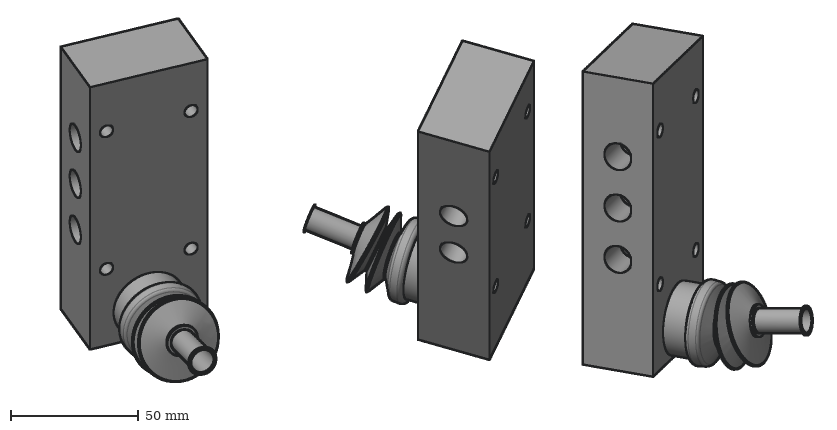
import cadquery as cq
import math

total_height = 128.3
body_depth = 30.0
body_width = 50.0
stub_dia = 30.0
stub_length = 9.8
collar_dia = 34.6
collar_front_dia = 34.0
collar_length = 6.3
collar_back_round = 1.9
collar_front_round = 1.3
overlap = 1.3

stub_z = stub_dia / 2
body_height = total_height - (collar_dia - stub_dia) / 2

port_dia = 11.4
port_depth = 15.4
port_pitch = 22.1
port_middle_z = 69.9
mount_dia = 5.5
mount_spacing_y = 35.9
mount_spacing_z = 66.1

bellows_start_dia = 31.8
neck_dia = 19.2
rim_dia = 34.0
rim_half_width = 0.5
neck_half_width = 0.4
first_neck = (49.7, 15.1, 5.0)
first_rim = (53.8, 15.5, 11.6)
second_neck = (56.7, 16.4, 16.8)
second_rim = (60.3, 17.7, 21.0)

lever_tilt = 10.0
lever_ring_dia = 13.0
lever_ring_length = 1.0
tube_dia = 10.0
tube_bore_dia = 9.5
flange_dia = 11.8
flange_thickness = 0.3
tip_x = 84.8
tip_z = 23.5
lever_length = 21.5


def tilted_plane(x, z, tilt, offset=0.0):
    """Plane facing +X and leaning up by tilt, moved along its own normal by offset."""
    angle = math.radians(tilt)
    normal = cq.Vector(math.cos(angle), 0, math.sin(angle))
    origin = cq.Vector(x, 0, z) + normal * offset
    return cq.Plane(origin=origin, xDir=(0, 1, 0), normal=normal)


def ring_wire(plane, dia):
    return cq.Wire.makeCircle(dia / 2, plane.origin, plane.zDir)


def fold_wires(fold, half_width, edge_dia):
    """Pair of equal circles bounding one fold of the bellows."""
    return [ring_wire(tilted_plane(*fold, side * half_width), edge_dia) for side in (-1, 1)]


def rim_wires(fold):
    """Bevelled outer rim: a full-size circle between two smaller ones."""
    back, front = fold_wires(fold, rim_half_width, rim_dia - 2 * rim_half_width)
    return [back, ring_wire(tilted_plane(*fold), rim_dia), front]


def make_body():
    body = cq.Workplane("XY").box(body_depth, body_width, body_height, centered=(False, True, False))

    mounts = (
        cq.Workplane("YZ", origin=(0, 0, port_middle_z))
        .rarray(mount_spacing_y, mount_spacing_z, 2, 2)
        .circle(mount_dia / 2)
        .extrude(body_depth)
    )
    body = body.cut(mounts)

    for side, steps in ((-1, (-1, 0, 1)), (1, (-0.5, 0.5))):
        for step in steps:
            start = cq.Vector(body_depth / 2, side * body_width / 2, port_middle_z + step * port_pitch)
            port = cq.Solid.makeCylinder(port_dia / 2, port_depth, start, cq.Vector(0, -side, 0))
            body = body.cut(cq.Workplane(port))
    return body


def make_collar():
    stub = (
        cq.Workplane("YZ", origin=(body_depth - overlap, 0, stub_z))
        .circle(stub_dia / 2)
        .extrude(stub_length + 2 * overlap)
    )
    collar_start = body_depth + stub_length
    back_radius = collar_dia / 2
    front_radius = collar_front_dia / 2
    collar = (
        cq.Workplane("XZ", origin=(collar_start, 0, stub_z))
        .lineTo(0, back_radius - collar_back_round)
        .radiusArc((collar_back_round, back_radius), collar_back_round)
        .lineTo(collar_length - collar_front_round, front_radius)
        .tangentArcPoint((collar_length, bellows_start_dia / 2), relative=False)
        .lineTo(collar_length, 0)
        .close()
        .revolve(360, (0, 0, 0), (1, 0, 0))
    )
    return stub.union(collar)


def make_bellows(lever_base):
    collar_end = body_depth + stub_length + collar_length
    wires = [ring_wire(tilted_plane(collar_end, stub_z, 0), bellows_start_dia)]
    wires += fold_wires(first_neck, neck_half_width, neck_dia)
    wires += rim_wires(first_rim)
    wires += fold_wires(second_neck, neck_half_width, neck_dia)
    wires += rim_wires(second_rim)
    wires.append(ring_wire(lever_base, lever_ring_dia))
    return cq.Workplane(cq.Solid.makeLoft(wires, True))


def make_lever(lever_base):
    ring = cq.Workplane(lever_base).circle(lever_ring_dia / 2).extrude(lever_ring_length)
    tube = cq.Workplane(lever_base).circle(tube_dia / 2).extrude(lever_length)
    flange = (
        cq.Workplane(tilted_plane(tip_x, tip_z, lever_tilt))
        .circle(flange_dia / 2)
        .extrude(-flange_thickness)
    )
    bore = (
        cq.Workplane(tilted_plane(tip_x, tip_z, lever_tilt))
        .circle(tube_bore_dia / 2)
        .extrude(-(lever_length - lever_ring_length))
    )
    return ring.union(tube).union(flange).cut(bore)


lever_base = tilted_plane(tip_x, tip_z, lever_tilt, -lever_length)
result = make_body().union(make_collar()).union(make_bellows(lever_base)).union(make_lever(lever_base))